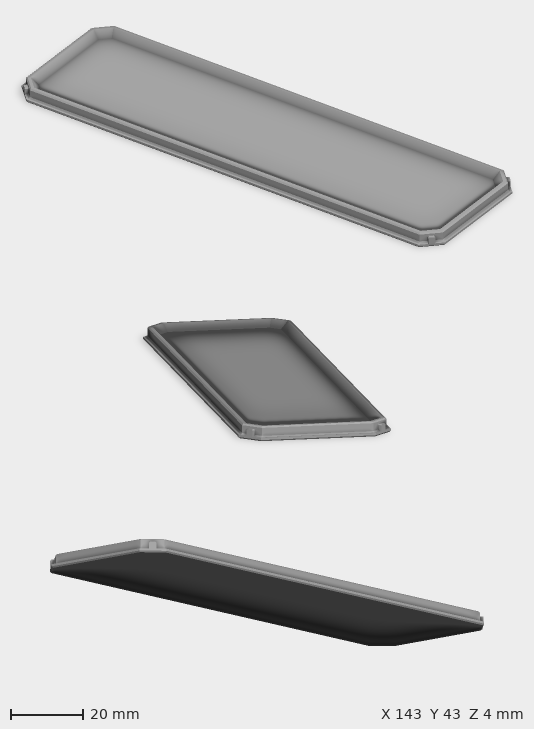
import cadquery as cq
import math

LENGTH = 143.0
WIDTH = 43.0
HEIGHT = 4.0
CORNER_CUT = 5.3

FLANGE_TOP = 1.0
FLANGE_BEVEL = 0.4

WALL_INSET = 1.1
FOOT_BEVEL = 0.4
RIM_BEVEL = 0.4

RIM_INSET = 2.4
FLOOR_INSET = 4.5
TRAY_DEPTH = FLOOR_INSET - RIM_INSET

RIB_WIDTH = 2.0
RIB_TOP = 3.0
RIB_BEVEL = 0.3
RIB_LENGTH = 2.0


def octagon_points(inset):
    """Cut-corner rectangle, every side moved inwards by the same distance."""
    half_x = LENGTH / 2 - inset
    half_y = WIDTH / 2 - inset
    cut = CORNER_CUT - inset * (2 - math.sqrt(2))
    return [
        (half_x, half_y - cut),
        (half_x - cut, half_y),
        (cut - half_x, half_y),
        (-half_x, half_y - cut),
        (-half_x, cut - half_y),
        (cut - half_x, -half_y),
        (half_x - cut, -half_y),
        (half_x, cut - half_y),
    ]


def octagon_layer(bottom, bottom_inset, top, top_inset):
    """Solid between two octagons at different heights."""
    return (
        cq.Workplane("XY")
        .workplane(offset=bottom)
        .polyline(octagon_points(bottom_inset))
        .close()
        .workplane(offset=top - bottom)
        .polyline(octagon_points(top_inset))
        .close()
        .loft(ruled=True)
    )


def make_plate():
    """Flange and wall, stacked up from the (height, inset) levels of the outer profile."""
    levels = [
        (0, FLANGE_BEVEL),
        (FLANGE_BEVEL, 0),
        (FLANGE_TOP, 0),
        (FLANGE_TOP, WALL_INSET - FOOT_BEVEL),
        (FLANGE_TOP + FOOT_BEVEL, WALL_INSET),
        (HEIGHT - RIM_BEVEL, WALL_INSET),
        (HEIGHT, WALL_INSET + RIM_BEVEL),
    ]
    plate = cq.Workplane("XY")
    for (bottom, bottom_inset), (top, top_inset) in zip(levels, levels[1:]):
        is_sloped_or_vertical = top > bottom
        if is_sloped_or_vertical:
            plate = plate.union(octagon_layer(bottom, bottom_inset, top, top_inset))
    return plate


def make_tray():
    return octagon_layer(HEIGHT - TRAY_DEPTH, FLOOR_INSET, HEIGHT, RIM_INSET)


def make_corner_rib(sign_x, sign_y):
    """Upright block whose outer face is flush with the corner face of the flange."""
    edge_x = sign_x * (LENGTH - CORNER_CUT) / 2
    edge_y = sign_y * (WIDTH - CORNER_CUT) / 2
    outward = math.degrees(math.atan2(sign_y, sign_x))
    return (
        cq.Workplane("XY")
        .box(RIB_LENGTH, RIB_WIDTH, RIB_TOP - FLANGE_BEVEL, centered=(False, True, False))
        .edges(">Z and |X")
        .chamfer(RIB_BEVEL)
        .translate((-RIB_LENGTH, 0, FLANGE_BEVEL))
        .rotate((0, 0, 0), (0, 0, 1), outward)
        .translate((edge_x, edge_y, 0))
    )


result = make_plate()
for x_side in (-1, 1):
    for y_side in (-1, 1):
        result = result.union(make_corner_rib(x_side, y_side))
result = result.cut(make_tray())